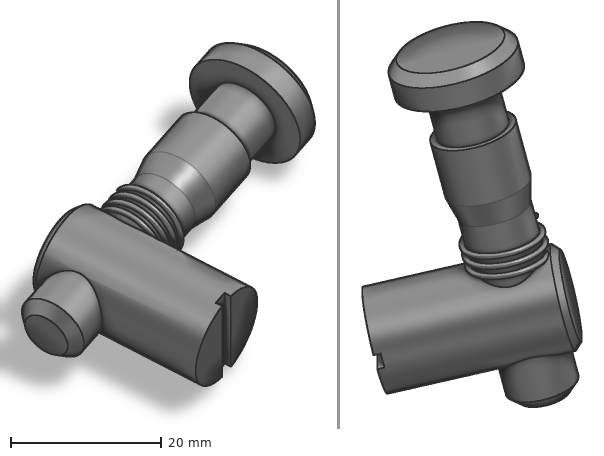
import cadquery as cq
import math


head_end_y = 38.95
pin_length = 52.2
head_diameter = 17.8
head_thickness = 5.0
head_chamfer = 1.45
neck_diameter = 9.85
neck_length = 7.4
collar_diameter = 11.8
collar_length = 8.3
taper_length = 3.5
shaft_diameter = 10.0
tip_chamfer = 1.55

barrel_diameter = 14.65
barrel_start_x = -6.8
barrel_length = 26.8
barrel_chamfer = 1.0
slot_width = 2.1
slot_depth = 1.0

wire_diameter = 0.8
coil_radius = 5.45
coil_pitch = 1.5
coil_turns = 3.4
coil_start_y = 11.35
coil_start_angle = 27.0


def make_pin():
    """Turned pin: head, neck, collar, taper and plain shaft, revolved about Y."""
    head_radius = head_diameter / 2
    collar_radius = collar_diameter / 2
    shaft_radius = shaft_diameter / 2
    neck_radius = neck_diameter / 2
    head_under_y = head_end_y - head_thickness
    collar_top_y = head_under_y - neck_length
    taper_top_y = collar_top_y - collar_length
    taper_bottom_y = taper_top_y - taper_length
    tip_y = head_end_y - pin_length
    outline = [
        (0, head_end_y),
        (head_radius - head_chamfer, head_end_y),
        (head_radius, head_end_y - head_chamfer),
        (head_radius, head_under_y),
        (neck_radius, head_under_y),
        (neck_radius, collar_top_y),
        (collar_radius, collar_top_y),
        (collar_radius, taper_top_y),
        (shaft_radius, taper_bottom_y),
        (shaft_radius, tip_y + tip_chamfer),
        (shaft_radius - tip_chamfer, tip_y),
        (0, tip_y),
    ]
    return cq.Workplane("XY").polyline(outline).close().revolve(360, (0, 0, 0), (0, 1, 0))


def make_spring():
    """Round wire swept along a helix that advances toward -Y."""
    angle = math.radians(coil_start_angle)
    start_direction = cq.Vector(-math.cos(angle), 0, math.sin(angle))
    coil_plane = cq.Plane(
        origin=(0, coil_start_y, 0), xDir=start_direction.toTuple(), normal=(0, -1, 0)
    )
    helix = cq.Wire.makeHelix(coil_pitch, coil_pitch * coil_turns, coil_radius, lefthand=True)
    coil = cq.Workplane("XZ").center(coil_radius, 0).circle(wire_diameter / 2).sweep(
        cq.Workplane(obj=helix), isFrenet=True
    )
    return cq.Workplane(obj=coil.val().moved(coil_plane.location))


def make_barrel(spring):
    """Barrel with a cross bore for the pin, an end slot and a groove seating the last coil."""
    barrel = (
        cq.Workplane("YZ", origin=(barrel_start_x, 0, 0))
        .circle(barrel_diameter / 2)
        .extrude(barrel_length)
        .faces("<X")
        .chamfer(barrel_chamfer)
    )
    cross_bore = cq.Workplane("XZ").circle(shaft_diameter / 2).extrude(barrel_diameter, both=True)
    barrel_end_x = barrel_start_x + barrel_length
    end_slot = cq.Workplane("XY").box(2 * slot_depth, slot_width, barrel_diameter).translate(
        (barrel_end_x, 0, 0)
    )
    return barrel.cut(cross_bore).cut(end_slot).cut(spring)


pin = make_pin()
spring = make_spring()
barrel = make_barrel(spring)

result = cq.Compound.makeCompound([pin.val(), spring.val(), *barrel.solids().vals()])